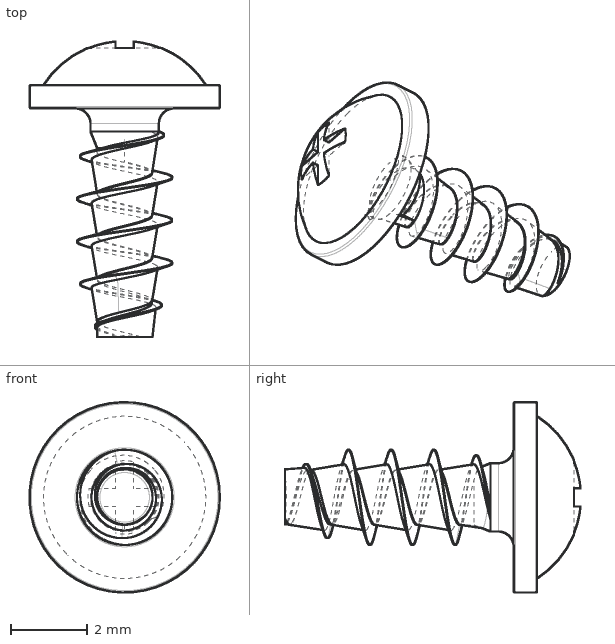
import cadquery as cq
import math


flange_radius = 2.5
flange_thickness = 0.62
flange_edge_fillet = 0.05
dome_base_radius = 2.13
dome_height = 1.16
slot_width = 0.47
slot_depth = 0.19

screw_length = 6.0
shank_radius = 0.9
neck_fillet = 0.4
shank_length = 0.61
runout_length = 0.43
core_radius = 0.725
tip_radius = 0.71

pitch = 1.12
first_crest_depth = 0.412
crest_radius = 1.25
crest_width = 0.02
start_crest_radius = 0.96
end_crest_radius = 0.69
start_taper_turns = 1.0
end_taper_length = 1.63
head_flank_slope = 0.2
tip_flank_slope = 0.285
wedge_radius = 0.87
end_wedge_radius = 0.685
end_wedge_turns = 1.0
wedge_gap = 0.135
base_radius = 0.65

dish_radius = 0.65
dish_depth = 0.04

screw_frame = cq.Plane(origin=(0, 0, 0), xDir=(0, 0, -1), normal=(0, -1, 0))


def revolve_about_axis(profile):
    """Revolve a closed profile of (radius, Y) about the screw axis."""
    return profile.close().revolve(360, (0, 0, 0), (0, 1, 0))


def make_head():
    flange = cq.Workplane("XZ").circle(flange_radius).extrude(-flange_thickness)
    flange = flange.edges().fillet(flange_edge_fillet)

    dome_radius = (dome_base_radius**2 + dome_height**2) / (2 * dome_height)
    dome_top = flange_thickness + dome_height
    dome_centre = dome_top - dome_radius
    mid_angle = math.asin(dome_base_radius / dome_radius) / 2
    mid_point = (
        dome_radius * math.sin(mid_angle),
        dome_centre + dome_radius * math.cos(mid_angle),
    )
    dome = revolve_about_axis(
        cq.Workplane("XY")
        .moveTo(0, flange_thickness / 2)
        .lineTo(dome_base_radius, flange_thickness / 2)
        .lineTo(dome_base_radius, flange_thickness)
        .threePointArc(mid_point, (0, dome_top))
    )

    slot_length = 2 * flange_radius
    slot_floor = dome_top - slot_depth
    cross = (
        cq.Workplane("XZ", origin=(0, slot_floor, 0))
        .rect(slot_length, slot_width)
        .extrude(-dome_height)
        .union(
            cq.Workplane("XZ", origin=(0, slot_floor, 0))
            .rect(slot_width, slot_length)
            .extrude(-dome_height)
        )
    )
    return flange.union(dome).cut(cross)


def make_shank():
    """Shank with its neck fillet, the cone that runs out into the core, and the core."""
    corner_middle = neck_fillet * (1 - math.sqrt(0.5))
    return revolve_about_axis(
        cq.Workplane("XY")
        .moveTo(0, flange_thickness / 2)
        .lineTo(shank_radius + neck_fillet, flange_thickness / 2)
        .lineTo(shank_radius + neck_fillet, 0)
        .threePointArc((shank_radius + corner_middle, -corner_middle), (shank_radius, -neck_fillet))
        .lineTo(shank_radius, -shank_length)
        .lineTo(core_radius, -shank_length - runout_length)
        .lineTo(tip_radius, -screw_length)
        .lineTo(0, -screw_length)
    )


def thread_corners(crest_depth, radius, foot_radius, far_radius):
    """(radius, depth) of the corners of ridge and wedge for a crest of the given depth and radius."""
    head_side = crest_depth - crest_width / 2
    tip_side = crest_depth + crest_width / 2
    far_depth = crest_depth + pitch - wedge_gap
    return [
        (base_radius, head_side - head_flank_slope * (radius - base_radius)),
        (radius, head_side),
        (radius, tip_side),
        (foot_radius, tip_side + tip_flank_slope * (radius - foot_radius)),
        (far_radius, far_depth),
        (base_radius, far_depth),
    ]


def tapered_helix(start, end, start_turn, turns):
    """Helix edge between two (radius, depth) points, beginning start_turn turns from local x."""
    start_radius, start_depth = start
    end_radius, end_depth = end
    cone_angle = math.atan2(end_radius - start_radius, end_depth - start_depth)
    slant_length = (end_depth - start_depth) / math.cos(cone_angle)
    straight_helix = 360.0
    helix = cq.Wire.makeHelix(
        slant_length / turns,
        slant_length,
        start_radius,
        cq.Vector(0, 0, start_depth),
        angle=math.degrees(cone_angle) or straight_helix,
    )
    return helix.rotate(cq.Vector(0, 0, 0), cq.Vector(0, 0, 1), 360 * start_turn).Edges()[0]


def thread_cap(corners, turn):
    """Flat end face of the thread in the plane that contains the screw axis."""
    angle = 2 * math.pi * turn
    points = [cq.Vector(r * math.cos(angle), r * math.sin(angle), depth) for r, depth in corners]
    return cq.Face.makeFromWires(cq.Wire.makePolygon(points, close=True))


def make_thread():
    """Thread that rises at the start, runs at full height and fades out at the tip."""
    total_turns = (screw_length - first_crest_depth) / pitch
    end_taper_start = total_turns - end_taper_length / pitch
    end_wedge_start = total_turns - end_wedge_turns
    taper_done = (end_wedge_start - end_taper_start) / (total_turns - end_taper_start)
    end_wedge_crest = crest_radius + taper_done * (end_crest_radius - crest_radius)
    stations = [
        (0, start_crest_radius, wedge_radius, core_radius),
        (start_taper_turns, crest_radius, wedge_radius, core_radius),
        (end_taper_start, crest_radius, wedge_radius, core_radius),
        (end_wedge_start, end_wedge_crest, wedge_radius, core_radius),
        (total_turns, end_crest_radius, end_wedge_radius, end_wedge_radius),
    ]
    sections = [
        (turn, thread_corners(first_crest_depth + turn * pitch, *radii)) for turn, *radii in stations
    ]

    faces = [thread_cap(corners, turn) for turn, corners in (sections[0], sections[-1])]
    for (turn, corners), (next_turn, next_corners) in zip(sections, sections[1:]):
        rails = [
            tapered_helix(start, end, turn, next_turn - turn)
            for start, end in zip(corners, next_corners)
        ]
        for rail, next_rail in zip(rails, rails[1:] + rails[:1]):
            faces.append(cq.Face.makeRuledSurface(rail, next_rail))
    thread = cq.Solid.makeSolid(cq.Shell.makeShell(faces))
    thread = cq.Workplane(thread.moved(cq.Location(screw_frame)))

    thread_zone = (
        cq.Workplane("XZ", origin=(0, -shank_length, 0))
        .circle(2 * crest_radius)
        .extrude(screw_length - shank_length)
    )
    return thread.intersect(thread_zone)


def make_tip_dish():
    sphere_radius = (dish_radius**2 + dish_depth**2) / (2 * dish_depth)
    return cq.Workplane(
        cq.Solid.makeSphere(sphere_radius, cq.Vector(0, 0, 0), cq.Vector(0, 1, 0), -90, 90, 360)
    ).translate((0, dish_depth - screw_length - sphere_radius, 0))


result = make_shank().union(make_thread()).union(make_head()).cut(make_tip_dish())